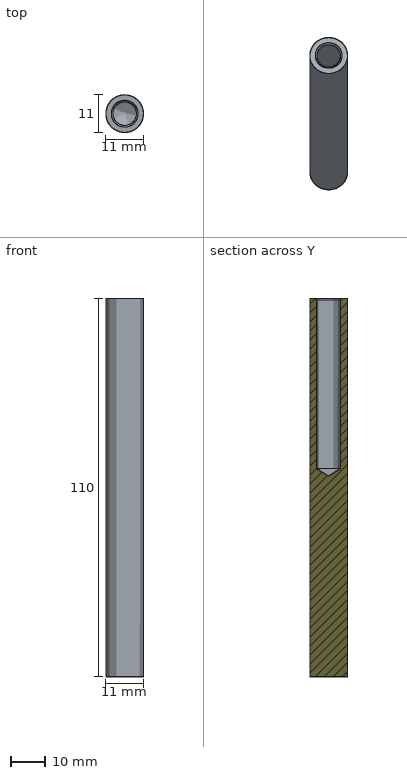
import cadquery as cq
import math

length = 110.0
outer_diameter = 11.0

hole_diameter = 6.8
mouth_diameter = 7.8
hole_depth = 49.5
drill_point_angle = 118.0

hole_radius = hole_diameter / 2
mouth_radius = mouth_diameter / 2
chamfer_depth = mouth_radius - hole_radius
point_depth = hole_radius / math.tan(math.radians(drill_point_angle / 2))


def make_rod():
    """Plain cylinder standing on the XY plane."""
    return cq.Workplane("XY").circle(outer_diameter / 2).extrude(length)


def make_drilled_hole():
    """Revolved cutter: countersunk mouth, straight wall and conical drill point."""
    floor_z = length - hole_depth
    return (
        cq.Workplane("XZ")
        .moveTo(0, length)
        .lineTo(mouth_radius, length)
        .lineTo(hole_radius, length - chamfer_depth)
        .lineTo(hole_radius, floor_z)
        .lineTo(0, floor_z - point_depth)
        .close()
        .revolve(360, (0, 0, 0), (0, 1, 0))
    )


result = make_rod().cut(make_drilled_hole())